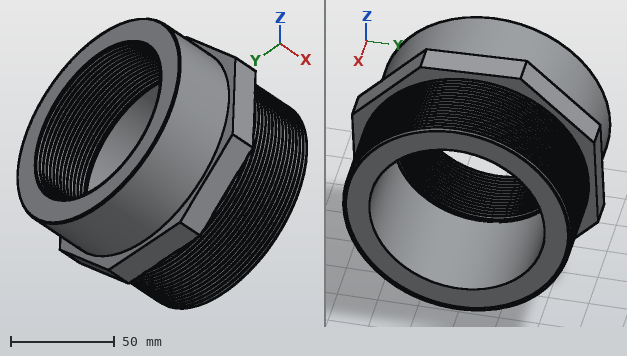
import cadquery as cq
import math


SOCKET_LENGTH = 33.3
COLLAR_LENGTH = 13.7
SPIGOT_LENGTH = 39.3

SOCKET_DIAMETER = 113.03
RIM_CHAMFER_LENGTH = 0.75
RIM_CHAMFER_DEPTH = 0.5

COLLAR_SIDES = 8
COLLAR_ACROSS_FLATS = 120.0
COLLAR_TURN = 2.2

THREAD_PITCH = 2.309
THREAD_ANGLE = 55.0

MALE_CREST_DIAMETER = SOCKET_DIAMETER
MALE_CORE_DIAMETER = 110.02
MALE_START_ANGLE = 180.0

SEAT_DIAMETER = 87.88
SEAT_RUNOUT = 1.0
FEMALE_START_ANGLE = -30.0
BORE_DIAMETER = 86.88

COLLAR_X = SOCKET_LENGTH
SPIGOT_X = COLLAR_X + COLLAR_LENGTH
TOTAL_LENGTH = SPIGOT_X + SPIGOT_LENGTH
COLLAR_CORNER_DIAMETER = COLLAR_ACROSS_FLATS / math.cos(math.pi / COLLAR_SIDES)
FLAT_UP_TURN = 180 / COLLAR_SIDES

THREAD_DEPTH = (MALE_CREST_DIAMETER - MALE_CORE_DIAMETER) / 2
THREAD_CREST_FLAT = THREAD_PITCH / 6
FEMALE_CREST_DIAMETER = SEAT_DIAMETER - 2 * THREAD_DEPTH
FEMALE_LENGTH = SOCKET_LENGTH
SEAT_LENGTH = FEMALE_LENGTH + SEAT_RUNOUT


def cylinder(diameter, start_x, length):
    """Solid cylinder on the X axis."""
    return cq.Workplane("YZ", origin=(start_x, 0, 0)).circle(diameter / 2).extrude(length)


def make_socket():
    """Plain outer cylinder of the socket with a shallow chamfer on its open rim."""
    blank = cylinder(SOCKET_DIAMETER, 0, SOCKET_LENGTH)
    return blank.faces("<X").chamfer(RIM_CHAMFER_LENGTH, RIM_CHAMFER_DEPTH)


def make_collar():
    """Octagonal spanner collar, turned slightly from flat-side-up."""
    return (
        cq.Workplane("YZ", origin=(COLLAR_X, 0, 0))
        .polygon(COLLAR_SIDES, COLLAR_CORNER_DIAMETER)
        .extrude(COLLAR_LENGTH)
        .rotate((0, 0, 0), (1, 0, 0), FLAT_UP_TURN + COLLAR_TURN)
    )


def make_adapter_body():
    """Socket, collar and spigot core in one piece, with the thread seat and the through bore."""
    spigot = cylinder(MALE_CORE_DIAMETER, SPIGOT_X, SPIGOT_LENGTH)
    thread_seat = cylinder(SEAT_DIAMETER, 0, SEAT_LENGTH)
    bore = cylinder(BORE_DIAMETER, 0, TOTAL_LENGTH)
    return make_socket().union(make_collar()).union(spigot).cut(thread_seat).cut(bore)


def make_thread(root_diameter, crest_diameter, start_x, length, start_angle):
    """Right-handed ridge from the root cylinder to the crest, trimmed square at both ends."""
    root = root_diameter / 2
    crest = crest_diameter / 2
    half_crest = THREAD_CREST_FLAT / 2
    half_base = half_crest + THREAD_DEPTH * math.tan(math.radians(THREAD_ANGLE / 2))

    turns = math.ceil(length / THREAD_PITCH) + 1
    helix = cq.Wire.makeHelix(THREAD_PITCH, turns * THREAD_PITCH, root)
    ridge = (
        cq.Workplane("XZ")
        .polyline([(root, -half_base), (crest, -half_crest), (crest, half_crest), (root, half_base)])
        .close()
        .sweep(cq.Workplane(helix), isFrenet=True)
        .translate((0, 0, -THREAD_PITCH / 2))
    )
    trim_radius = max(root, crest) + THREAD_DEPTH
    trim = cq.Workplane("XY").circle(trim_radius).extrude(length)
    return (
        ridge.intersect(trim)
        .rotate((0, 0, 0), (0, 1, 0), 90)
        .rotate((0, 0, 0), (1, 0, 0), start_angle)
        .translate((start_x, 0, 0))
    )


adapter_body = make_adapter_body()
male_thread = make_thread(
    MALE_CORE_DIAMETER, MALE_CREST_DIAMETER, SPIGOT_X, SPIGOT_LENGTH, MALE_START_ANGLE
)
female_thread = make_thread(
    SEAT_DIAMETER, FEMALE_CREST_DIAMETER, 0, FEMALE_LENGTH, FEMALE_START_ANGLE
)

result = cq.Compound.makeCompound(
    [
        adapter_body.solids().val(),
        male_thread.solids().val(),
        female_thread.solids().val(),
    ]
)